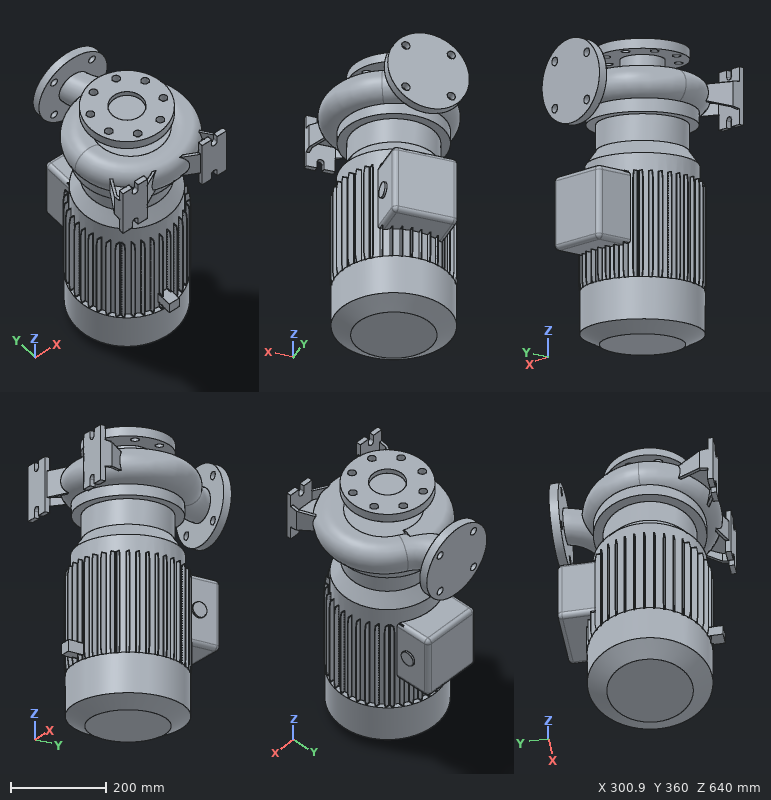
import cadquery as cq
import math


SUCTION_FACE_Z = 100
SUCTION_FLANGE_D = 200
SUCTION_FLANGE_THICK = 22
SUCTION_BORE_D = 80
SUCTION_BORE_DEPTH = 12
SUCTION_NECK_D = 95
SUCTION_BOLT_CIRCLE_D = 160
SUCTION_BOLT_COUNT = 8

DISCHARGE_FACE_Y = 200
DISCHARGE_FLANGE_D = 185
DISCHARGE_FLANGE_THICK = 20
DISCHARGE_BOLT_CIRCLE_D = 145
DISCHARGE_BOLT_COUNT = 4
BOLT_HOLE_D = 18

VOLUTE_MIN_X = -140
VOLUTE_MAX_X = 160.87
TUBE_R = 39
VOLUTE_CENTRE_X = (VOLUTE_MIN_X + VOLUTE_MAX_X) / 2
VOLUTE_PATH_R = (VOLUTE_MAX_X - VOLUTE_MIN_X) / 2 - TUBE_R
TONGUE_END_X = 40
TONGUE_END_Y = 98
TONGUE_END_R = 22
CORE_R = 105
CORE_TOP_Z = 29

CASING_FLANGE_R = 119.5
CASING_FLANGE_TOP_Z = -30
CASING_FLANGE_BOTTOM_Z = -64
LANTERN_R = 99
CONE_TOP_Z = -122
CONE_BOTTOM_Z = -154
MOTOR_BODY_R = 121.5
FIN_TOP_Z = -194
FIN_BOTTOM_Z = -426
COWL_R = 132.5
COWL_BOTTOM_Z = -518
COWL_END_R = 91
MOTOR_END_Z = -540

FIN_R = 134
FIN_END_SETBACK = 2.5
FIN_END_TAPER = 17
FIN_THICK = 2
FIN_ROOT_OVERLAP = 3
FIN_PITCH_ANGLE = 9
FINS_PER_HALF_SIDE = 5

BOX_WIDTH = 147
BOX_FACE_Y = 186
BOX_TOP_Z = -193
BOX_BOTTOM_Z = -353
BOX_FILLET = 10.5
GLAND_D = 35
GLAND_LENGTH = 4.5
GLAND_Y = 130

BLOCK_SIZE = 27
BLOCK_FACE_Y = -158.5
BLOCK_TOP_Z = -383

FOOT_FACE_Y = -160
FOOT_THICK = 12
FOOT_OUTER_X = 140
FOOT_WIDTH = 66
FOOT_TOP_Z = 62
FOOT_BOTTOM_Z = -64
FOOT_SLOT_WIDTH = 15
FOOT_SLOT_DEPTH = 23
RIB_THICK = 7
RIB_HALF_HEIGHT = 30
RIB_END_Y = -60
OUTER_RIB_BEND_Y = -131
OUTER_RIB_END_X = 100
OUTER_RIB_END_HALF_HEIGHT = 15
INNER_RIB_END_X = 20
INNER_RIB_END_Y = -120
WEB_THICK = 8


def cylinder(radius, bottom_z, top_z, centre_x=0):
    return cq.Workplane("XY", origin=(centre_x, 0, bottom_z)).circle(radius).extrude(top_z - bottom_z)


def box(min_x, max_x, min_y, max_y, min_z, max_z):
    size = (max_x - min_x, max_y - min_y, max_z - min_z)
    return cq.Workplane("XY", origin=(min_x, min_y, min_z)).box(*size, centered=False)


def slab(outline, half_height):
    """Closed XY outline given a thickness centred on Z = 0."""
    return cq.Workplane("XY").polyline(outline).close().extrude(half_height, both=True)


def volute_ring():
    """Tube from -X round the -Y side and past +X, and the bend that leads it to the discharge."""
    bend_r = (DISCHARGE_FACE_Y**2 + VOLUTE_CENTRE_X**2 - VOLUTE_PATH_R**2) / (
        2 * (VOLUTE_PATH_R + VOLUTE_CENTRE_X)
    )
    join_angle = math.degrees(math.asin(DISCHARGE_FACE_Y / (VOLUTE_PATH_R + bend_r)))
    start_x = VOLUTE_CENTRE_X - VOLUTE_PATH_R
    ring = (
        cq.Workplane("XZ", origin=(start_x, 0, 0))
        .circle(TUBE_R)
        .revolve(180 + join_angle, (VOLUTE_PATH_R, 0), (VOLUTE_PATH_R, 1))
    )
    bend = (
        cq.Workplane("XZ", origin=(0, DISCHARGE_FACE_Y, 0))
        .circle(TUBE_R)
        .revolve(join_angle, (bend_r, 0), (bend_r, 1))
    )
    return ring, bend


def volute_tongue():
    """Narrowing tube from -X over the +Y side, ending inside the discharge bend."""
    start_x = VOLUTE_CENTRE_X - VOLUTE_PATH_R
    run = TONGUE_END_X - start_x
    arc_r = (run**2 + TONGUE_END_Y**2) / (2 * run)
    sweep = math.atan2(TONGUE_END_Y, arc_r - run)
    middle = (
        start_x + arc_r * (1 - math.cos(sweep / 2)),
        arc_r * math.sin(sweep / 2),
    )
    path = cq.Workplane("XY").moveTo(start_x, 0).threePointArc(middle, (TONGUE_END_X, TONGUE_END_Y))
    start_plane = cq.Plane(origin=(start_x, 0, 0), xDir=(0, 0, 1), normal=(0, 1, 0))
    end_plane = cq.Plane(
        origin=(TONGUE_END_X, TONGUE_END_Y, 0),
        xDir=(0, 0, 1),
        normal=(math.sin(sweep), math.cos(sweep), 0),
    )
    start_wire = cq.Workplane(start_plane).circle(TUBE_R)
    end_wire = cq.Workplane(end_plane).circle(TONGUE_END_R)
    return start_wire.add(end_wire).sweep(path, multisection=True)


def suction_side():
    flange_back_z = SUCTION_FACE_Z - SUCTION_FLANGE_THICK
    flange = cylinder(SUCTION_FLANGE_D / 2, flange_back_z, SUCTION_FACE_Z)
    holes = (
        cq.Workplane("XY", origin=(0, 0, flange_back_z))
        .polarArray(SUCTION_BOLT_CIRCLE_D / 2, 180 / SUCTION_BOLT_COUNT, 360, SUCTION_BOLT_COUNT)
        .circle(BOLT_HOLE_D / 2)
        .extrude(SUCTION_FLANGE_THICK)
    )
    bore = cylinder(SUCTION_BORE_D / 2, SUCTION_FACE_Z - SUCTION_BORE_DEPTH, SUCTION_FACE_Z)
    neck = cylinder(SUCTION_NECK_D / 2, 0, flange_back_z)
    return flange.cut(holes).union(neck).cut(bore)


def discharge_flange():
    face = cq.Workplane("XZ", origin=(0, DISCHARGE_FACE_Y, 0))
    flange = face.circle(DISCHARGE_FLANGE_D / 2).extrude(DISCHARGE_FLANGE_THICK)
    holes = (
        face.polarArray(DISCHARGE_BOLT_CIRCLE_D / 2, 180 / DISCHARGE_BOLT_COUNT, 360, DISCHARGE_BOLT_COUNT)
        .circle(BOLT_HOLE_D / 2)
        .extrude(DISCHARGE_FLANGE_THICK)
    )
    return flange.cut(holes)


def casing_and_motor():
    """Turned body from the casing flange down to the end of the fan cowl."""
    profile = [
        (0, CASING_FLANGE_TOP_Z),
        (CASING_FLANGE_R, CASING_FLANGE_TOP_Z),
        (CASING_FLANGE_R, CASING_FLANGE_BOTTOM_Z),
        (LANTERN_R, CASING_FLANGE_BOTTOM_Z),
        (LANTERN_R, CONE_TOP_Z),
        (MOTOR_BODY_R, CONE_BOTTOM_Z),
        (MOTOR_BODY_R, FIN_BOTTOM_Z),
        (COWL_R, FIN_BOTTOM_Z),
        (COWL_R, COWL_BOTTOM_Z),
        (COWL_END_R, MOTOR_END_Z),
        (0, MOTOR_END_Z),
    ]
    return cq.Workplane("XZ").polyline(profile).close().revolve(360, (0, 0), (0, 1))


def cooling_fins():
    """Four groups of flat fins, each group parallel to X or Y, evenly pitched round the tip circle."""
    fins = cq.Workplane("XY")
    for step in range(FINS_PER_HALF_SIDE):
        angle = math.radians(FIN_PITCH_ANGLE * (step + 0.5))
        tip = FIN_R * math.cos(angle)
        end_tip = tip - FIN_END_SETBACK
        root = MOTOR_BODY_R * math.cos(angle) - FIN_ROOT_OVERLAP
        profile = [
            (root, FIN_TOP_Z),
            (end_tip, FIN_TOP_Z),
            (tip, FIN_TOP_Z - FIN_END_TAPER),
            (tip, FIN_BOTTOM_Z + FIN_END_TAPER),
            (end_tip, FIN_BOTTOM_Z),
            (root, FIN_BOTTOM_Z),
        ]
        for side in (-1, 1):
            mid_plane = cq.Workplane("YZ", origin=(side * FIN_R * math.sin(angle), 0, 0))
            fin = mid_plane.polyline(profile).close().extrude(FIN_THICK / 2, both=True)
            for turn in range(4):
                fins = fins.add(fin.rotate((0, 0, 0), (0, 0, 1), 90 * turn))
    return fins


def terminal_box():
    body = box(-BOX_WIDTH / 2, BOX_WIDTH / 2, 0, BOX_FACE_Y, BOX_BOTTOM_Z, BOX_TOP_Z)
    body = body.edges(">Y or |Y").fillet(BOX_FILLET)
    gland_z = (BOX_TOP_Z + BOX_BOTTOM_Z) / 2
    gland = (
        cq.Workplane("YZ", origin=(BOX_WIDTH / 2, GLAND_Y, gland_z)).circle(GLAND_D / 2).extrude(GLAND_LENGTH)
    )
    return body.union(gland)


def drain_block():
    half = BLOCK_SIZE / 2
    back_y = -MOTOR_BODY_R + FIN_ROOT_OVERLAP
    return box(-half, half, BLOCK_FACE_Y, back_y, BLOCK_TOP_Z - BLOCK_SIZE, BLOCK_TOP_Z)


def foot():
    """Foot on the +X side: slotted plate, two ribs running into the volute and a web between them."""
    inner_x = FOOT_OUTER_X - FOOT_WIDTH
    plate_back_y = FOOT_FACE_Y + FOOT_THICK
    plate = box(inner_x, FOOT_OUTER_X, FOOT_FACE_Y, plate_back_y, FOOT_BOTTOM_Z, FOOT_TOP_Z)
    slots = (
        cq.Workplane("XZ", origin=(FOOT_OUTER_X - FOOT_WIDTH / 2, plate_back_y, 0))
        .pushPoints([(0, FOOT_TOP_Z), (0, FOOT_BOTTOM_Z)])
        .slot2D(2 * FOOT_SLOT_DEPTH, FOOT_SLOT_WIDTH, 90)
        .extrude(FOOT_THICK)
    )

    outer_edge = [
        (FOOT_OUTER_X, plate_back_y),
        (FOOT_OUTER_X, OUTER_RIB_BEND_Y),
        (OUTER_RIB_END_X, RIB_END_Y),
    ]
    outer_rib_inside = [(x - RIB_THICK, y) for x, y in reversed(outer_edge)]
    side_profile = [
        (plate_back_y, RIB_HALF_HEIGHT),
        (RIB_END_Y, OUTER_RIB_END_HALF_HEIGHT),
        (RIB_END_Y, -OUTER_RIB_END_HALF_HEIGHT),
        (plate_back_y, -RIB_HALF_HEIGHT),
    ]
    outer_rib = slab(outer_edge + outer_rib_inside, RIB_HALF_HEIGHT).intersect(
        cq.Workplane("YZ").polyline(side_profile).close().extrude(FOOT_OUTER_X)
    )

    inner_edge = [(INNER_RIB_END_X, INNER_RIB_END_Y), (inner_x, plate_back_y)]
    inner_rib_inside = [(x, y - RIB_THICK) for x, y in reversed(inner_edge)]
    inner_rib = slab(inner_edge + inner_rib_inside, RIB_HALF_HEIGHT)

    web = slab(outer_edge + inner_edge, WEB_THICK / 2)
    return plate.cut(slots).union(outer_rib).union(inner_rib).union(web)


def pump():
    ring, bend = volute_ring()
    core = cylinder(CORE_R, CASING_FLANGE_TOP_Z, CORE_TOP_Z, VOLUTE_CENTRE_X)
    right_foot = foot()
    parts = [
        ring,
        bend,
        volute_tongue(),
        core,
        suction_side(),
        discharge_flange(),
        terminal_box(),
        drain_block(),
        right_foot,
        right_foot.mirror("YZ"),
    ]
    body = casing_and_motor().union(cooling_fins())
    for part in parts:
        body = body.union(part)
    return body


result = pump()